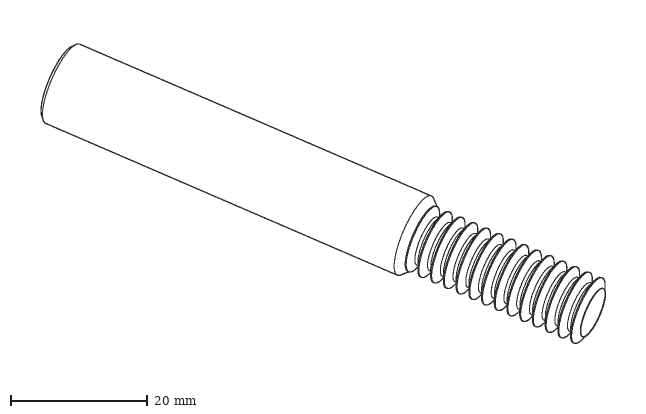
import cadquery as cq

length = 88.9
rod_radius = 12.7 / 2
rod_chamfer = 0.5

crest_radius = 10.5 / 2
root_radius = 7.7 / 2
ridge_count = 14
crest_span = 27.6
pitch = crest_span / (ridge_count - 1)
crest_flat = 0.2
root_flat = 0.5
flank_run = (pitch - crest_flat - root_flat) / 2
end_land = 0.1

shoulder_run = 1.25
last_crest_end = length - end_land - flank_run
first_crest_start = last_crest_end - crest_span - crest_flat
rod_end = first_crest_start - shoulder_run


def ridge_points(crest_start):
    """Half-section of one ridge with both flanks, given where its flat crest starts."""
    crest_end = crest_start + crest_flat
    return [
        (crest_start - flank_run, root_radius),
        (crest_start, crest_radius),
        (crest_end, crest_radius),
        (crest_end + flank_run, root_radius),
    ]


profile = [
    (0, 0),
    (0, rod_radius - rod_chamfer),
    (rod_chamfer, rod_radius),
    (rod_end, rod_radius),
]
profile += ridge_points(first_crest_start)[1:]
for index in range(1, ridge_count):
    profile += ridge_points(first_crest_start + index * pitch)
profile += [(length, root_radius), (length, 0)]

result = cq.Workplane("XY").polyline(profile).close().revolve(360, (0, 0, 0), (1, 0, 0))